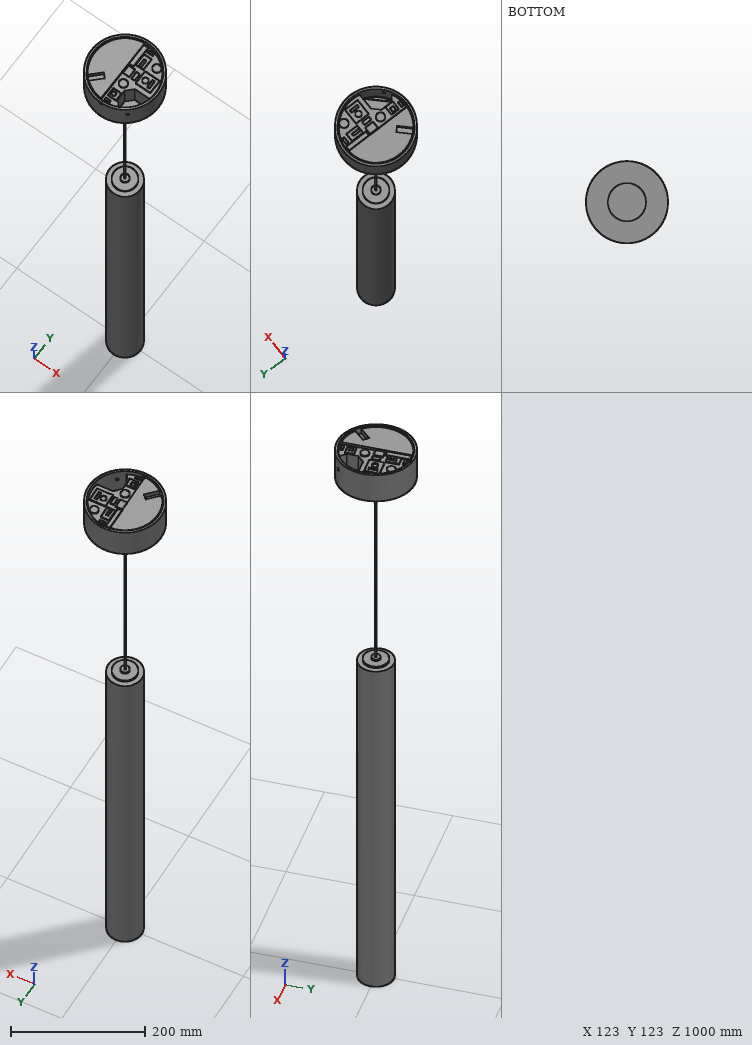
import cadquery as cq

TOTAL_HEIGHT = 1000.0
CANOPY_DIAMETER = 123.0
CANOPY_HEIGHT = 50.0
CANOPY_RADIUS = CANOPY_DIAMETER / 2
CANOPY_BOTTOM = TOTAL_HEIGHT - CANOPY_HEIGHT
LAMP_DIAMETER = 57.0
LAMP_LENGTH = 600.0

WALL = 4.0
FLOOR = 4.0
BORE_DIAMETER = CANOPY_DIAMETER - 2 * WALL
BORE_RADIUS = BORE_DIAMETER / 2
FLOOR_TOP = CANOPY_BOTTOM + FLOOR

SCREW_HOLE = (310, 4.4, 18.0)
PIN_HOLE = (270, 3.0, 4.0)

INSERT_GAP = 2.0
INSERT_DIAMETER = BORE_DIAMETER - 2 * INSERT_GAP
DECK_TOP = TOTAL_HEIGHT - 5.0
COMPONENT_TOP = TOTAL_HEIGHT - 3.0
COVER_TOP = TOTAL_HEIGHT - 1.0
COVER_EDGE_X = -4.0

WELL_BACK_Y = -12.0
WELL_LEFT_X = 16.0
WELL_BEVEL = 11.0
WELL_FRONT_Y = -41.0
LEDGE_ANGLE = 315
LEDGE_START = 51.0
LEDGE_TOP = FLOOR_TOP + 4.0

CHANNEL_ANGLE = 225
CHANNEL_WIDTH = 10.0
CHANNEL_START = 31.0
CHANNEL_DEPTH = 8.0

RAIL = (0.0, 35.0, 8.0, 38.0)
SOCKET = (12.0, 31.0, 14.0, 21.0)
CONTROLLER = (3.0, 6.0, 12.0, 15.0)
CHIP = (16.0, 5.0, 6.0, 13.0)
TERMINAL = (36.0, 8.0, 27.0, 24.0)
CLAMP = (8.0, -37.0, 15.0, 14.0)
BACK_BAR = (12.0, 49.0, 10.0, 4.0)
FRONT_BAR = (5.0, -51.0, 9.0, 4.0)
BLOCK_COMPONENTS = (RAIL, SOCKET, CONTROLLER, CHIP, TERMINAL, CLAMP, BACK_BAR, FRONT_BAR)

ROUND_COMPONENT_DIAMETER = 14.0
ROUND_COMPONENT_CENTRES = ((34.0, 34.0), (8.0, -15.0))

RECESS_DEPTH = 2.0
SOCKET_RECESS = (12.0, 28.0, 4.0, 14.0)
TERMINAL_RECESS = (42.0, 8.0, 4.0, 14.0)
CLAMP_RECESS = (6.0, -37.0, 7.0, 6.0)
BLOCK_RECESSES = (SOCKET_RECESS, TERMINAL_RECESS, CLAMP_RECESS)
TERMINAL_HOLE_DIAMETER = 10.0
TERMINAL_HOLE_CENTRE = (32.0, 8.0)

CABLE_DIAMETER = 3.0
CAP_DIAMETER = 40.0
CAP_TOP = LAMP_LENGTH + 3.0
GLAND_DIAMETER = 14.0
GLAND_TOP = CAP_TOP + 3.0


def cylinder(diameter, bottom, top, centre=(0, 0)):
    """Upright cylinder between two heights."""
    base = cq.Workplane("XY", origin=(*centre, bottom))
    return base.circle(diameter / 2).extrude(top - bottom)


def block(footprint, bottom, top):
    """Upright block with a footprint of (centre x, centre y, size x, size y)."""
    centre_x, centre_y, size_x, size_y = footprint
    base = cq.Workplane("XY", origin=(centre_x, centre_y, bottom))
    return base.rect(size_x, size_y).extrude(top - bottom)


def turned(shape, angle):
    """Shape rotated about the lamp axis."""
    return shape.rotate((0, 0, 0), (0, 0, 1), angle)


def wall_hole(angle, diameter, drop):
    """Radial cutter that crosses only the cup wall and the gap behind it."""
    start = BORE_RADIUS - INSERT_GAP
    plane = cq.Workplane("YZ", origin=(start, 0, TOTAL_HEIGHT - drop))
    return turned(plane.circle(diameter / 2).extrude(CANOPY_RADIUS - start), angle)


def make_cup():
    """Open cup with its two wall holes."""
    cup = cylinder(CANOPY_DIAMETER, CANOPY_BOTTOM, TOTAL_HEIGHT)
    cup = cup.cut(cylinder(BORE_DIAMETER, FLOOR_TOP, TOTAL_HEIGHT))
    return cup.cut(wall_hole(*SCREW_HOLE)).cut(wall_hole(*PIN_HOLE))


def make_well():
    """Cutter with two bevelled inner corners that runs out through the side of the insert."""
    points = [
        (WELL_LEFT_X + WELL_BEVEL, WELL_BACK_Y),
        (CANOPY_RADIUS, WELL_BACK_Y),
        (CANOPY_RADIUS, -CANOPY_RADIUS),
        (WELL_LEFT_X + CANOPY_RADIUS + WELL_FRONT_Y, -CANOPY_RADIUS),
        (WELL_LEFT_X, WELL_FRONT_Y),
        (WELL_LEFT_X, WELL_BACK_Y - WELL_BEVEL),
    ]
    outline = cq.Workplane("XY", origin=(0, 0, FLOOR_TOP)).polyline(points).close()
    well = outline.extrude(DECK_TOP - FLOOR_TOP)
    return well.cut(make_ledge())


def make_ledge():
    """Low bar with a straight inner side, left standing in the well."""
    width = CANOPY_RADIUS - LEDGE_START
    footprint = (LEDGE_START + width / 2, 0, width, CANOPY_DIAMETER)
    return turned(block(footprint, FLOOR_TOP, LEDGE_TOP), LEDGE_ANGLE)


def make_cover():
    """Raised part of the insert on its -X side."""
    side = (COVER_EDGE_X - CANOPY_RADIUS, 0, CANOPY_DIAMETER, CANOPY_DIAMETER)
    disc = cylinder(INSERT_DIAMETER, FLOOR_TOP, COVER_TOP)
    return disc.intersect(block(side, FLOOR_TOP, COVER_TOP))


def make_channel():
    """Cutter from the cover out to the cup wall."""
    length = BORE_RADIUS - CHANNEL_START
    footprint = (CHANNEL_START + length / 2, 0, length, CHANNEL_WIDTH)
    return turned(block(footprint, COVER_TOP - CHANNEL_DEPTH, COVER_TOP), CHANNEL_ANGLE)


def make_insert():
    """Round block with its well, cover, channel and the components on its deck."""
    insert = cylinder(INSERT_DIAMETER, FLOOR_TOP, DECK_TOP).cut(make_well())
    insert = insert.union(make_cover()).cut(make_channel())
    for footprint in BLOCK_COMPONENTS:
        insert = insert.union(block(footprint, DECK_TOP, COMPONENT_TOP))
    for centre in ROUND_COMPONENT_CENTRES:
        insert = insert.union(cylinder(ROUND_COMPONENT_DIAMETER, DECK_TOP, COMPONENT_TOP, centre))
    recess_floor = COMPONENT_TOP - RECESS_DEPTH
    for footprint in BLOCK_RECESSES:
        insert = insert.cut(block(footprint, recess_floor, COMPONENT_TOP))
    return insert.cut(cylinder(TERMINAL_HOLE_DIAMETER, recess_floor, COMPONENT_TOP, TERMINAL_HOLE_CENTRE))


def make_canopy():
    """Cup and insert as one solid, with the cable hole in the floor."""
    canopy = make_cup().union(make_insert())
    return canopy.cut(cylinder(CABLE_DIAMETER, CANOPY_BOTTOM, FLOOR_TOP))


def make_cable():
    """Cable from the top of the gland up through the canopy floor."""
    return cylinder(CABLE_DIAMETER, GLAND_TOP, FLOOR_TOP)


def make_lamp():
    """Tube with a stepped cap and a cable gland on its top."""
    tube = cylinder(LAMP_DIAMETER, 0, LAMP_LENGTH)
    cap = cylinder(CAP_DIAMETER, LAMP_LENGTH, CAP_TOP)
    gland = cylinder(GLAND_DIAMETER, CAP_TOP, GLAND_TOP)
    return tube.union(cap).union(gland)


canopy = make_canopy()
cable = make_cable()
lamp = make_lamp()
result = cq.Compound.makeCompound([canopy.val(), cable.val(), lamp.val()])